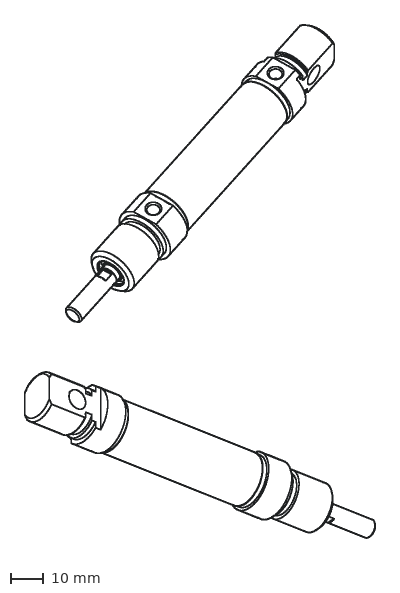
import cadquery as cq
import math

LENGTH = 129.0

COLLAR_DIA = 19.0
THREAD_DIA = 16.0
GROOVE_DIA = 13.7
ROD_DIA = 5.9

ROD_CHAMFER = 0.5
WRENCH_FLAT_START = 15.2
WRENCH_FLAT_END = 18.2
WRENCH_FLAT_GAP = 5.0

FRONT_FACE = 19.9
FRONT_CHAMFER = 1.2
FRONT_GROOVE_START = 33.9
FRONT_GROOVE_END = 36.2
FRONT_COLLAR_START = 37.9
COLLAR_LENGTH = 8.9
FRONT_COLLAR_END = FRONT_COLLAR_START + COLLAR_LENGTH

RECESS_DIA = 9.9
SHELF_DEPTH = 0.6
RING_GROOVE_OUTER_DIA = 9.2
RING_GROOVE_INNER_DIA = 7.1
RING_GROOVE_DEPTH = 1.9
LIP_DIA = 6.2
LIP_TIP = 18.8

REAR_CHAMFER = 0.9
THREAD_EDGE_CHAMFER = 0.4
REAR_COLLAR_START = LENGTH - 26.8
REAR_COLLAR_END = REAR_COLLAR_START + COLLAR_LENGTH
REAR_GROOVE_START = LENGTH - 16.5
REAR_GROOVE_END = LENGTH - 14.2
TONGUE_START = LENGTH - 19.9
TONGUE_WIDTH = 12.0
PIVOT_DIA = 6.5
PIVOT_POSITION = LENGTH - 10.8

BARREL_DIA = 17.4
NECK_DIA = 17.0
NECK_LENGTH = 1.7

PORT_FLAT_HEIGHT = 8.5
PORT_DIA = 4.0
PORT_MOUTH_DIA = 5.0
PORT_DEPTH = 5.2
DRILL_TIP_ANGLE = 118.0


def revolve_about_y(profile):
    """Revolve a closed (radius, y) profile about the Y axis."""
    return cq.Workplane("XY").polyline(profile).close().revolve(360, (0, 0, 0), (0, 1, 0))


def cylinder_on_y(diameter, start, end):
    return cq.Workplane("XZ", origin=(0, start, 0)).circle(diameter / 2).extrude(start - end)


def collar_flat(start):
    """Material above the port flat of the collar that begins at y = start."""
    cutter_height = COLLAR_DIA / 2
    return cq.Workplane("XY").box(
        COLLAR_DIA, COLLAR_LENGTH, cutter_height, centered=(True, False, False)
    ).translate((0, start, PORT_FLAT_HEIGHT))


def port(y, depth, tip_height):
    """Port hole going down from the flat: a countersunk mouth, a bore and a drill tip."""
    radius = PORT_DIA / 2
    mouth_radius = PORT_MOUTH_DIA / 2
    mouth_depth = mouth_radius - radius
    profile = [(0, 0), (mouth_radius, 0), (radius, -mouth_depth), (radius, -depth), (0, -depth - tip_height)]
    hole = cq.Workplane("XZ").polyline(profile).close().revolve(360, (0, 0, 0), (0, 1, 0))
    return hole.translate((0, y, PORT_FLAT_HEIGHT))


def make_rod():
    """Rod with a chamfered tip and two wrench flats, ending at the barrel."""
    rod = cylinder_on_y(ROD_DIA, 0, FRONT_COLLAR_END).faces("<Y").chamfer(ROD_CHAMFER)
    flat_length = WRENCH_FLAT_END - WRENCH_FLAT_START
    for side in (-1, 1):
        cutter = cq.Workplane("XY").box(ROD_DIA, flat_length, ROD_DIA, centered=(True, False, True))
        rod = rod.cut(cutter.translate((0, WRENCH_FLAT_START, side * (WRENCH_FLAT_GAP + ROD_DIA) / 2)))
    return rod


def make_front_cap():
    """Threaded nose, groove and ported collar, bored for the rod."""
    rod_radius = ROD_DIA / 2
    thread_radius = THREAD_DIA / 2
    groove_radius = GROOVE_DIA / 2
    shelf = FRONT_FACE + SHELF_DEPTH
    groove_floor = FRONT_FACE + RING_GROOVE_DEPTH
    cap = revolve_about_y([
        (rod_radius, LIP_TIP),
        (LIP_DIA / 2, LIP_TIP),
        (LIP_DIA / 2, shelf),
        (RING_GROOVE_INNER_DIA / 2, shelf),
        (RING_GROOVE_INNER_DIA / 2, groove_floor),
        (RING_GROOVE_OUTER_DIA / 2, groove_floor),
        (RING_GROOVE_OUTER_DIA / 2, shelf),
        (RECESS_DIA / 2, shelf),
        (RECESS_DIA / 2, FRONT_FACE),
        (thread_radius - FRONT_CHAMFER, FRONT_FACE),
        (thread_radius, FRONT_FACE + FRONT_CHAMFER),
        (thread_radius, FRONT_GROOVE_START),
        (groove_radius, FRONT_GROOVE_START),
        (groove_radius, FRONT_GROOVE_END),
        (thread_radius, FRONT_GROOVE_END),
        (thread_radius, FRONT_COLLAR_START),
        (COLLAR_DIA / 2, FRONT_COLLAR_START),
        (COLLAR_DIA / 2, FRONT_COLLAR_END),
        (rod_radius, FRONT_COLLAR_END),
    ])
    front_port = port(FRONT_COLLAR_START + COLLAR_LENGTH / 2, PORT_FLAT_HEIGHT, 0)
    return cap.cut(collar_flat(FRONT_COLLAR_START)).cut(front_port)


def make_rear_cap():
    """Ported collar, groove and threaded end, flattened into a pivot tongue."""
    thread_radius = THREAD_DIA / 2
    groove_radius = GROOVE_DIA / 2
    cap = revolve_about_y([
        (0, REAR_COLLAR_START),
        (COLLAR_DIA / 2, REAR_COLLAR_START),
        (COLLAR_DIA / 2, REAR_COLLAR_END),
        (thread_radius, REAR_COLLAR_END),
        (thread_radius, REAR_GROOVE_START),
        (groove_radius, REAR_GROOVE_START),
        (groove_radius, REAR_GROOVE_END),
        (thread_radius - THREAD_EDGE_CHAMFER, REAR_GROOVE_END),
        (thread_radius, REAR_GROOVE_END + THREAD_EDGE_CHAMFER),
        (thread_radius, LENGTH - REAR_CHAMFER),
        (thread_radius - REAR_CHAMFER, LENGTH),
        (0, LENGTH),
    ])
    tongue_length = LENGTH - TONGUE_START
    for side in (-1, 1):
        cutter = cq.Workplane("XY").box(COLLAR_DIA, tongue_length, COLLAR_DIA, centered=(True, False, True))
        cap = cap.cut(cutter.translate((side * (TONGUE_WIDTH + COLLAR_DIA) / 2, TONGUE_START, 0)))
    pivot_hole = cq.Workplane("YZ").center(PIVOT_POSITION, 0).circle(PIVOT_DIA / 2).extrude(COLLAR_DIA, both=True)
    tip_height = PORT_DIA / 2 / math.tan(math.radians(DRILL_TIP_ANGLE / 2))
    rear_port = port(REAR_COLLAR_START + COLLAR_LENGTH / 2, PORT_DEPTH, tip_height)
    return cap.cut(pivot_hole).cut(collar_flat(REAR_COLLAR_START)).cut(rear_port)


def make_barrel():
    """Barrel between the caps, with a narrower neck against each collar."""
    barrel = cylinder_on_y(NECK_DIA, FRONT_COLLAR_END, REAR_COLLAR_START)
    full_part = cylinder_on_y(BARREL_DIA, FRONT_COLLAR_END + NECK_LENGTH, REAR_COLLAR_START - NECK_LENGTH)
    return barrel.union(full_part)


rod = make_rod()
front_cap = make_front_cap()
rear_cap = make_rear_cap()
barrel = make_barrel()

result = cq.Compound.makeCompound([rod.val(), front_cap.val(), rear_cap.val(), barrel.val()])